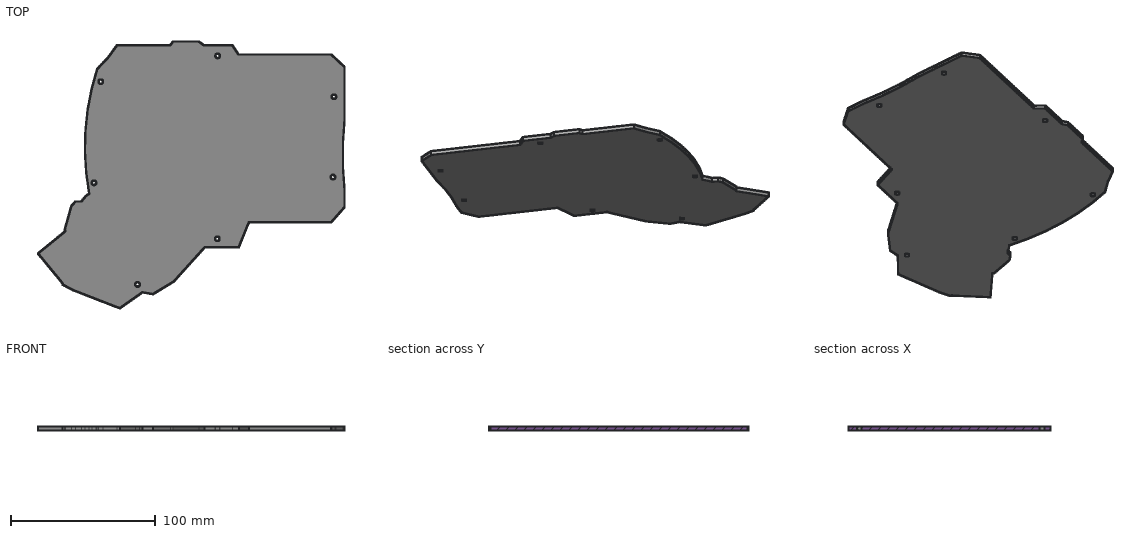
import cadquery as cq

LENGTH = 212
WIDTH = 184.5
THICKNESS = 3.0
HOLE_DIAMETER = 3.0

UPPER_SHOULDER_Y = 182.0
RIGHT_TOP_Y = 175.5
RIGHT_BOTTOM_Y = 59.4
LOWER_STEP_Y = 42.2
LEFT_LEDGE_Y = 74.0

CORNER_X = 202.7
CORNER_TOP_Y = 166.9
CORNER_BOTTOM_Y = 70

HOLLOW_CENTER_Y = 106
HOLLOW_HALF_LENGTH = 24.0
HOLLOW_DEPTH = 1.3

BOW_BOTTOM = (35.5, 79.3)
BOW_MIDDLE = (32.5, 113.5)
BOW_TOP = (41.0, 165.5)

LOWER_OUTLINE = [
    (19, 53.5),
    (0, 38.0),
    (17, 17.4),
    (17.2, 16.3),
    (24.4, 12.5),
    (56.6, 0),
    (72.3, 11.0),
    (79.5, 9.8),
    (94.0, 18.5),
    (115.4, LOWER_STEP_Y),
    (138.9, LOWER_STEP_Y),
    (145.9, RIGHT_BOTTOM_Y),
    (CORNER_X, RIGHT_BOTTOM_Y),
    (LENGTH, CORNER_BOTTOM_Y),
]

UPPER_OUTLINE = [
    (LENGTH, CORNER_TOP_Y),
    (CORNER_X, RIGHT_TOP_Y),
    (138.7, RIGHT_TOP_Y),
    (134.5, UPPER_SHOULDER_Y),
    (114.7, UPPER_SHOULDER_Y),
    (111.3, WIDTH),
    (93.3, WIDTH),
    (91.5, UPPER_SHOULDER_Y),
    (54.7, UPPER_SHOULDER_Y),
    (48.3, 173.2),
    BOW_TOP,
]

LEDGE_OUTLINE = [
    (33.3, 77.8),
    (30.1, LEFT_LEDGE_Y),
    (26.0, LEFT_LEDGE_Y),
    (23.1, 70.8),
    (18.5, 54.3),
]

HOLE_CENTERS = [
    (43.5, 156.7),
    (38.8, 86.7),
    (69.0, 16.5),
    (124.0, 48.1),
    (204.0, 90.8),
    (204.6, 146.3),
    (124.3, 174.5),
]


def make_plate():
    """Flat plate with the irregular outline, drawn counterclockwise."""
    hollow_bottom = (LENGTH, HOLLOW_CENTER_Y - HOLLOW_HALF_LENGTH)
    hollow_middle = (LENGTH - HOLLOW_DEPTH, HOLLOW_CENTER_Y)
    hollow_top = (LENGTH, HOLLOW_CENTER_Y + HOLLOW_HALF_LENGTH)
    outline = (
        cq.Workplane("XY")
        .polyline(LOWER_OUTLINE + [hollow_bottom])
        .threePointArc(hollow_middle, hollow_top)
    )
    for point in UPPER_OUTLINE:
        outline = outline.lineTo(*point)
    outline = outline.threePointArc(BOW_MIDDLE, BOW_BOTTOM)
    for point in LEDGE_OUTLINE:
        outline = outline.lineTo(*point)
    return outline.close().extrude(THICKNESS)


def make_holes():
    """Round mounting holes through the full thickness."""
    return (
        cq.Workplane("XY")
        .pushPoints(HOLE_CENTERS)
        .circle(HOLE_DIAMETER / 2)
        .extrude(THICKNESS)
    )


result = make_plate().cut(make_holes())